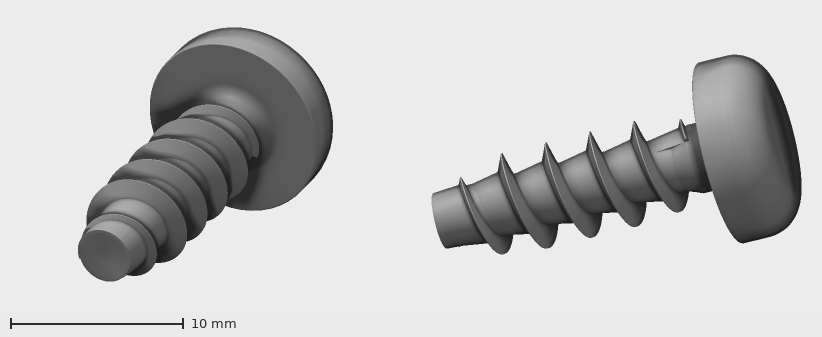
import cadquery as cq
import math


total_length = 20.8
head_radius = 10.8 / 2
head_height = 3.78
dome_radius = 2.12
rim_fillet = 0.08
shank_length = total_length - head_height

neck_radius = 2.04
neck_fillet = 0.8
neck_length = 1.5
core_radius = 1.68
neck_taper_end = 2.45
tip_radius = 1.62
tip_dish_radius = 1.52
tip_dish_depth = 0.12
tip_taper_start = 15.38

pitch = 2.68
crest_radius = 3.0
crest_depth = 4.2
crest_half_width = 0.031
head_flank_slope = 0.28
tip_flank_slope = 0.46
thread_root_radius = 2.0
inner_radius = 1.54
skirt_end_radius = 1.66
skirt_end_offset = 2.2

first_turn = -1.05
fade_out_turn = 3.3
last_turn = 4.55
start_crest_radius = 2.37
end_crest_radius = 1.8
end_root_radius = 1.7
segment_count = 14
segment_steps = 10


def make_head_and_core():
    """Revolve the domed head, filleted neck and dish-ended core about Y."""
    diagonal = math.sqrt(0.5)
    dome_center = (head_radius - dome_radius, head_height - dome_radius)
    dome_middle = (dome_center[0] + dome_radius * diagonal, dome_center[1] + dome_radius * diagonal)
    fillet_center = neck_radius + neck_fillet
    fillet_middle = (fillet_center - neck_fillet * diagonal, -neck_fillet * (1 - diagonal))
    rim_middle = (head_radius - rim_fillet * (1 - diagonal), rim_fillet * (1 - diagonal))
    return (
        cq.Workplane("XY")
        .moveTo(0, head_height)
        .lineTo(dome_center[0], head_height)
        .threePointArc(dome_middle, (head_radius, dome_center[1]))
        .lineTo(head_radius, rim_fillet)
        .threePointArc(rim_middle, (head_radius - rim_fillet, 0))
        .lineTo(fillet_center, 0)
        .threePointArc(fillet_middle, (neck_radius, -neck_fillet))
        .lineTo(neck_radius, -neck_length)
        .lineTo(core_radius, -neck_taper_end)
        .lineTo(core_radius, -tip_taper_start)
        .lineTo(tip_radius, -shank_length)
        .lineTo(tip_dish_radius, -shank_length)
        .lineTo(0, -shank_length + tip_dish_depth)
        .close()
        .revolve(360, (0, 0, 0), (0, 1, 0))
    )


def thread_section(turn):
    """Return the (radius, depth offset) corners of the thread section at a turn."""
    rise = min(1, (turn - first_turn) / -first_turn)
    fade = max(0, (turn - fade_out_turn) / (last_turn - fade_out_turn))
    crest = start_crest_radius + rise * (crest_radius - start_crest_radius)
    crest -= fade * (crest_radius - end_crest_radius)
    root = thread_root_radius - fade * (thread_root_radius - end_root_radius)
    head_offset = crest_half_width + head_flank_slope * (crest - inner_radius)
    root_offset = crest_half_width + tip_flank_slope * (crest - root)
    return [
        (inner_radius, -head_offset),
        (crest, -crest_half_width),
        (crest, crest_half_width),
        (root, root_offset),
        (min(root, skirt_end_radius), skirt_end_offset),
        (inner_radius, skirt_end_offset),
    ]


def section_points(turn):
    """Place the thread section in the half-plane that the helix reaches at a turn."""
    angle = 2 * math.pi * turn
    depth = crest_depth + pitch * turn
    return [
        cq.Vector(radius * math.cos(angle), -depth - offset, radius * math.sin(angle))
        for radius, offset in thread_section(turn)
    ]


def make_thread_segment(start_turn, end_turn):
    """Join the helical corner curves with ruled faces and cap both ends."""
    span = end_turn - start_turn
    turns = [start_turn + span * i / segment_steps for i in range(segment_steps + 1)]
    sections = [section_points(turn) for turn in turns]
    curves = [cq.Edge.makeSpline(list(points), parameters=turns) for points in zip(*sections)]
    faces = [
        cq.Face.makeRuledSurface(curve, following)
        for curve, following in zip(curves, curves[1:] + curves[:1])
    ]
    for section in (sections[0], sections[-1]):
        faces.append(cq.Face.makeFromWires(cq.Wire.makePolygon(section, close=True)))
    return cq.Solid.makeSolid(cq.Shell.makeShell(faces)).fix()


def make_shank_limit():
    """Cylinder around the whole screw that ends the thread flush with the tip."""
    return cq.Workplane("XZ", origin=(0, head_height, 0)).circle(2 * head_radius).extrude(total_length)


segment_span = (last_turn - first_turn) / segment_count
segment_ends = [first_turn + segment_span * i for i in range(segment_count + 1)]
segments = [make_thread_segment(*ends) for ends in zip(segment_ends, segment_ends[1:])]
body = make_head_and_core().val().fuse(*segments)
result = cq.Workplane(obj=body).intersect(make_shank_limit())